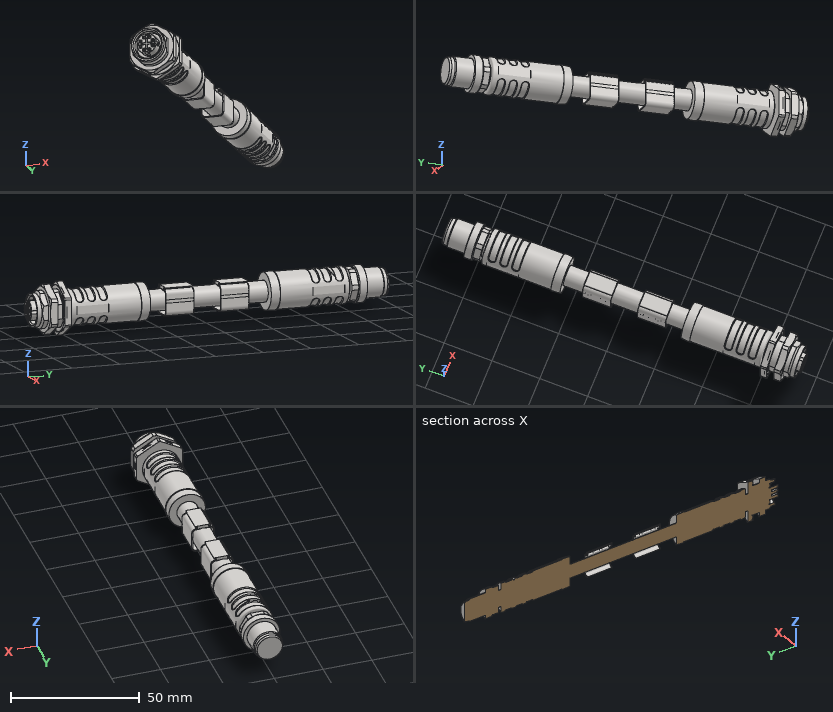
import cadquery as cq
import math

TOTAL_LENGTH = 149.2
SOCKET_END = -TOTAL_LENGTH / 2
PLUG_END = TOTAL_LENGTH / 2

CABLE_DIA = 8.6
GRIP_DIA = 15.0
GRIP_LENGTH = 33.0
GRIP_FILLET = 0.6
COLLAR_DIA = 15.6
COLLAR_LENGTH = 3.8
COLLAR_CROWN_DIA = 15.45
NECK_DIA = 9.8

RECESS_COUNT = 3
RECESS_START = 2.2
RECESS_WIDTH = 3.4
RECESS_FLOOR_WIDTH = 2.7
RECESS_PITCH = 4.95
RECESS_DEPTH = 0.4
RECESS_LOW_Z = 3.05
FLAT_WIDTH = 3.15
RECESS_SPAN = RECESS_WIDTH + (RECESS_COUNT - 1) * RECESS_PITCH

CORNERS_ON_X = 0
CORNERS_ON_Z = 30
THREAD_FLAT_TURN = -45

PLUG_TIP_DIA = 10.4
PLUG_NOSE_DIA = 11.2
PLUG_THREAD_DIA = 12.0
PLUG_TIP_LENGTH = 0.8
PLUG_NOSE_LENGTH = 2.2
PLUG_THREAD_CHAMFER = 0.4
PLUG_FLANGE_AT = 10.0
PLUG_HEX_AT = 13.5
PLUG_FLANGE_CHAMFER = 0.4
PLUG_NECK_AT = 16.3
PLUG_GRIP_AT = 17.3
PLUG_HEX_FLATS = 13.0
PLUG_HEX_CORNER_DIA = 14.0

CORE_DIA = 8.0
CORE_STEP = 1.4
SLEEVE_DIA = 13.4
SLEEVE_LENGTH = 1.8
THREAD_AT = CORE_STEP + SLEEVE_LENGTH
THREAD_DIA = 15.0
THREAD_FLATS = 13.8
THREAD_CHAMFER = 0.8
NUT_AT = 5.9
NUT_THICKNESS = 3.1
NUT_FLATS = 18.0
NUT_CORNER_DIA = 20.0
NUT_CHAMFER_LENGTH = 0.5
NUT_CHAMFER_DEPTH = 0.9
FLANGE_AT = 11.8
FLANGE_THICKNESS = 2.7
FLANGE_FLATS = 19.03
FLANGE_CORNER_DIA = 21.5
SOCKET_GRIP_AT = 15.4

BORE_DIA = 10.92
BORE_MOUTH_DIA = 12.0
BORE_DEPTH = 3.0
RING_SECTION_DIA = (BORE_DIA - CORE_DIA) / 2
RING_CENTRE_DIA = (BORE_DIA + CORE_DIA) / 2
KEYWAY_DIA = 1.3
KEYWAY_COUNT = 4
KEYWAY_LENGTH = 3.0
CROSS_SLOT_WIDTH = 0.7
CROSS_SLOT_LENGTH = 4.4
CROSS_SLOT_DEPTH = 0.5
CONTACT_DIA = 0.72
CONTACT_MOUTH_DIA = 1.3
CONTACT_MOUTH_DEPTH = 0.3
CONTACT_CIRCLE_DIA = 5.5
CONTACT_COUNT = 8
CONTACT_DEPTH = 3.0

SEAL_GROOVE_OUTER_DIA = 18.6
SEAL_SECTION_DIA = (SEAL_GROOVE_OUTER_DIA - THREAD_DIA) / 2

MARKER_LENGTH = 11.8
MARKER_FIRST_AT = 58.5
MARKER_PITCH = 23.0
MARKER_COUNT = 2
MARKER_WIDTH = 9.4
MARKER_TOP = 4.5
MARKER_BOTTOM = -6.0
MARKER_CORNER = 1.9
MARKER_WALL = 0.45
PLATE_WIDTH = 6.2
PLATE_TOP = 5.6
PLATE_THICKNESS = 0.6
PLATE_FILLET = 0.3
PLATE_STEM_WIDTH = 4.6


def from_plug(distance):
    return PLUG_END - distance


def from_socket(distance):
    return SOCKET_END + distance


def section_at(y):
    """XZ sketch plane at y whose extrusions run towards +Y; its local y is -Z."""
    return cq.Workplane(cq.Plane(origin=(0, y, 0), xDir=(1, 0, 0), normal=(0, 1, 0)))


def cylinder(y, length, diameter):
    return section_at(y).circle(diameter / 2).extrude(length)


def revolve_outline(points):
    """Revolve a closed (radius, y) outline about the cable axis."""
    return cq.Workplane("XY").polyline(points).close().revolve(360, (0, 0, 0), (0, 1, 0))


def cone(y, length, start_dia, end_dia):
    return revolve_outline([(0, y), (start_dia / 2, y), (end_dia / 2, y + length), (0, y + length)])


def ring(y, section_dia, centre_dia):
    """Round-section ring around the cable axis."""
    return (
        cq.Workplane("XY")
        .center(centre_dia / 2, y)
        .circle(section_dia / 2)
        .revolve(360, (-centre_dia / 2, 0, 0), (-centre_dia / 2, 1, 0))
    )


def hexagon(y, length, flats, corner_dia, turn):
    """Hexagonal prism with its corners turned down to corner_dia."""
    prism = section_at(y).polygon(6, flats / math.cos(math.pi / 6)).extrude(length)
    prism = prism.rotate((0, 0, 0), (0, 1, 0), turn)
    return prism.intersect(cylinder(y, length, corner_dia))


def grip(end_y, inward):
    """Moulded grip from its connector end; inward is +1 or -1 along Y, towards the cable."""

    def along(distance):
        return end_y + inward * distance

    radius = GRIP_DIA / 2
    collar_at = GRIP_LENGTH - COLLAR_LENGTH
    crown = (COLLAR_CROWN_DIA / 2, along(GRIP_LENGTH - COLLAR_LENGTH / 2))
    diagonal = GRIP_FILLET * (1 - math.sqrt(0.5))
    body = (
        cq.Workplane("XY")
        .moveTo(0, along(0))
        .lineTo(radius - GRIP_FILLET, along(0))
        .threePointArc((radius - diagonal, along(diagonal)), (radius, along(GRIP_FILLET)))
        .lineTo(radius, along(collar_at))
        .lineTo(COLLAR_DIA / 2, along(collar_at))
        .threePointArc(crown, (radius, along(GRIP_LENGTH)))
        .lineTo(0, along(GRIP_LENGTH))
        .close()
        .revolve(360, (0, 0, 0), (0, 1, 0))
    )

    half = RECESS_WIDTH / 2
    floor_half = RECESS_FLOOR_WIDTH / 2
    floor_radius = radius - RECESS_DEPTH
    for index in range(RECESS_COUNT):
        middle = along(RECESS_START + half + index * RECESS_PITCH)
        groove = revolve_outline(
            [
                (floor_radius, middle - floor_half),
                (radius, middle - half),
                (GRIP_DIA, middle - half),
                (GRIP_DIA, middle + half),
                (radius, middle + half),
                (floor_radius, middle + floor_half),
            ]
        )
        for side in (1, -1):
            outline = (
                cq.Workplane("YZ")
                .moveTo(middle - half, side * GRIP_DIA)
                .lineTo(middle - half, side * (RECESS_LOW_Z + half))
                .threePointArc((middle, side * RECESS_LOW_Z), (middle + half, side * (RECESS_LOW_Z + half)))
                .lineTo(middle + half, side * GRIP_DIA)
                .close()
            )
            body = body.cut(outline.extrude(GRIP_DIA, both=True).intersect(groove))

    flat_x = math.sqrt(radius**2 - (FLAT_WIDTH / 2) ** 2)
    flat_y = along(RECESS_START + RECESS_SPAN / 2)
    for side in (1, -1):
        block = cq.Workplane("XY").box(GRIP_DIA, RECESS_SPAN, FLAT_WIDTH)
        body = body.cut(block.translate((side * (flat_x + radius), flat_y, 0)))
    return body


def plug():
    profile = [
        (0, from_plug(0)),
        (PLUG_TIP_DIA / 2, from_plug(0)),
        (PLUG_NOSE_DIA / 2, from_plug(PLUG_TIP_LENGTH)),
        (PLUG_NOSE_DIA / 2, from_plug(PLUG_NOSE_LENGTH)),
        (PLUG_THREAD_DIA / 2, from_plug(PLUG_NOSE_LENGTH + PLUG_THREAD_CHAMFER)),
        (PLUG_THREAD_DIA / 2, from_plug(PLUG_FLANGE_AT)),
        (GRIP_DIA / 2, from_plug(PLUG_FLANGE_AT)),
        (GRIP_DIA / 2, from_plug(PLUG_HEX_AT - PLUG_FLANGE_CHAMFER)),
        (GRIP_DIA / 2 - PLUG_FLANGE_CHAMFER, from_plug(PLUG_HEX_AT)),
        (NECK_DIA / 2, from_plug(PLUG_HEX_AT)),
        (NECK_DIA / 2, from_plug(PLUG_GRIP_AT)),
        (0, from_plug(PLUG_GRIP_AT)),
    ]
    hex_length = PLUG_NECK_AT - PLUG_HEX_AT
    collar = hexagon(from_plug(PLUG_NECK_AT), hex_length, PLUG_HEX_FLATS, PLUG_HEX_CORNER_DIA, CORNERS_ON_X)
    return revolve_outline(profile).union(collar)


def threaded_body():
    """Panel thread with four flats: one pair across X, one pair across the +X+Z diagonal."""
    length = FLANGE_AT - THREAD_AT
    start = from_socket(THREAD_AT)
    body = cylinder(start + THREAD_CHAMFER, length - THREAD_CHAMFER, THREAD_DIA)
    body = body.union(cone(start, THREAD_CHAMFER, SLEEVE_DIA, THREAD_DIA))
    slab = section_at(start).rect(THREAD_FLATS, 2 * THREAD_DIA).extrude(length)
    body = body.intersect(slab)
    return body.intersect(slab.rotate((0, 0, 0), (0, 1, 0), THREAD_FLAT_TURN))


def nut():
    start = from_socket(NUT_AT)
    body = hexagon(start, NUT_THICKNESS, NUT_FLATS, NUT_CORNER_DIA, CORNERS_ON_Z)
    face_dia = NUT_CORNER_DIA - 2 * NUT_CHAMFER_DEPTH
    blank = cone(start, NUT_CHAMFER_LENGTH, face_dia, NUT_CORNER_DIA)
    blank = blank.union(cylinder(start + NUT_CHAMFER_LENGTH, NUT_THICKNESS, NUT_CORNER_DIA))
    return body.intersect(blank)


def flange():
    """Hexagonal flange with a round seal lying flush in a groove of its front face."""
    start = from_socket(FLANGE_AT)
    body = hexagon(start, FLANGE_THICKNESS, FLANGE_FLATS, FLANGE_CORNER_DIA, CORNERS_ON_Z)
    groove = cylinder(start, SEAL_SECTION_DIA / 2, SEAL_GROOVE_OUTER_DIA)
    groove = groove.cut(cylinder(start, SEAL_SECTION_DIA / 2, THREAD_DIA))
    seal = ring(start + SEAL_SECTION_DIA / 2, SEAL_SECTION_DIA, SEAL_GROOVE_OUTER_DIA - SEAL_SECTION_DIA)
    return body.cut(groove).union(seal)


def contact_core():
    length = CORE_STEP + BORE_DEPTH
    body = cylinder(SOCKET_END, length, CORE_DIA)
    for index in range(KEYWAY_COUNT):
        angle = index * 2 * math.pi / KEYWAY_COUNT
        centre = (CORE_DIA / 2 * math.cos(angle), CORE_DIA / 2 * math.sin(angle))
        keyway = section_at(SOCKET_END).center(*centre).circle(KEYWAY_DIA / 2).extrude(KEYWAY_LENGTH)
        body = body.cut(keyway)
    for size in ((CROSS_SLOT_LENGTH, CROSS_SLOT_WIDTH), (CROSS_SLOT_WIDTH, CROSS_SLOT_LENGTH)):
        body = body.cut(section_at(SOCKET_END).rect(*size).extrude(CROSS_SLOT_DEPTH))
    for diameter, depth in ((CONTACT_MOUTH_DIA, CONTACT_MOUTH_DEPTH), (CONTACT_DIA, CONTACT_DEPTH)):
        contacts = (
            section_at(SOCKET_END)
            .polarArray(CONTACT_CIRCLE_DIA / 2, 180 / CONTACT_COUNT, 360, CONTACT_COUNT)
            .circle(diameter / 2)
            .extrude(depth)
        )
        body = body.cut(contacts)
    return body


def socket():
    sleeve_start = from_socket(CORE_STEP)
    body = cylinder(sleeve_start, SLEEVE_LENGTH, SLEEVE_DIA)
    body = body.union(threaded_body()).union(nut()).union(flange())
    neck_start = FLANGE_AT + FLANGE_THICKNESS
    body = body.union(cylinder(from_socket(neck_start), SOCKET_GRIP_AT - neck_start, NECK_DIA))
    body = body.cut(cylinder(sleeve_start, BORE_DEPTH, BORE_DIA))
    body = body.cut(cone(sleeve_start, (BORE_MOUTH_DIA - BORE_DIA) / 2, BORE_MOUTH_DIA, BORE_DIA))
    floor = sleeve_start + BORE_DEPTH
    return body.union(contact_core()).union(ring(floor, RING_SECTION_DIA, RING_CENTRE_DIA))


def marker(y):
    """Thin rounded sleeve carrying a label plate, hung around the cable."""

    def tube(inset):
        height = MARKER_TOP - MARKER_BOTTOM - 2 * inset
        block = cq.Workplane("XY").box(MARKER_WIDTH - 2 * inset, MARKER_LENGTH, height)
        return block.edges("|Y").fillet(MARKER_CORNER - inset)

    def plate(width, bottom, top):
        block = cq.Workplane("XY").box(width, MARKER_LENGTH, top - bottom)
        return block.translate((0, y, (top + bottom) / 2))

    middle_z = (MARKER_TOP + MARKER_BOTTOM) / 2
    body = tube(0).cut(tube(MARKER_WALL)).translate((0, y, middle_z))
    plate_bottom = PLATE_TOP - PLATE_THICKNESS
    body = body.union(plate(PLATE_STEM_WIDTH, MARKER_TOP - MARKER_WALL / 2, plate_bottom))
    label = plate(PLATE_WIDTH, plate_bottom, PLATE_TOP).faces(">Z").edges("|Y").fillet(PLATE_FILLET)
    return body.union(label)


plug_grip_y = from_plug(PLUG_GRIP_AT)
socket_grip_y = from_socket(SOCKET_GRIP_AT)
cable_start = socket_grip_y + GRIP_LENGTH / 2
cable_end = plug_grip_y - GRIP_LENGTH / 2

result = cylinder(cable_start, cable_end - cable_start, CABLE_DIA)
result = result.union(grip(plug_grip_y, -1)).union(grip(socket_grip_y, 1))
result = result.union(plug()).union(socket())
for marker_index in range(MARKER_COUNT):
    marker_start = MARKER_FIRST_AT + marker_index * MARKER_PITCH
    result = result.union(marker(from_plug(marker_start + MARKER_LENGTH / 2)))